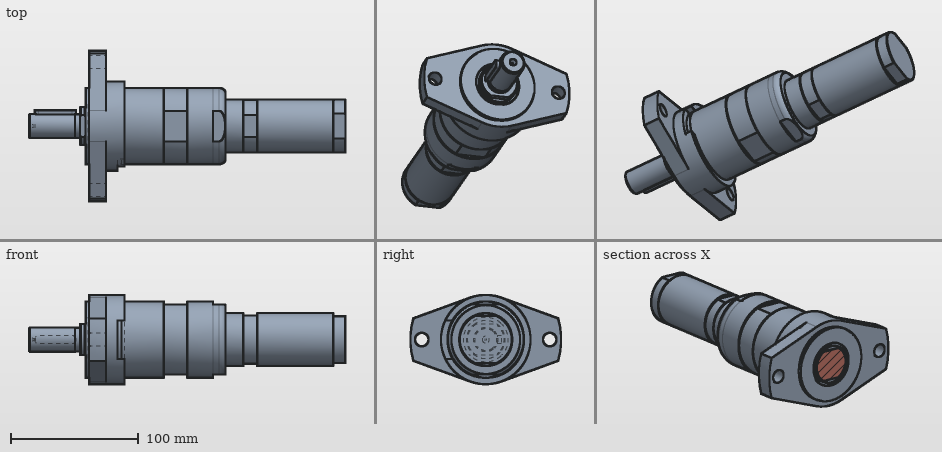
import cadquery as cq
import math

SHAFT_STEP_X = 36.0
COLLAR_X = 39.8
PILOT_X = 44.3
FLANGE_X = 47.0
FLANGE_END_X = 60.5
NOTCH_X = 69.3
BODY_SHOULDER_X = 72.5
HUB_END_X = 74.7
WRENCH_X = 105.7
RING_X = 123.5
NOSE_FLAT_X = 144.0
NOSE_ROUND_X = 148.5
NOSE_END_X = 153.7
NECK_X = 167.8
REAR_BODY_X = 178.2
TAIL_X = 238.0
TOTAL_LENGTH = 247.5

SHAFT_DIAMETER = 19.0
SHAFT_ROOT_DIAMETER = 18.8
SHAFT_CHAMFER = 1.0
KEY_X = 4.5
KEY_LENGTH = 32.5
KEY_WIDTH = 6.5
KEY_TOP_Y = 12.4
CENTER_RIM_DIAMETER = 5.5
CENTER_DRILL_DIAMETER = 1.55
CENTER_CONE_ANGLE = 60.0
CENTER_DRILL_DEPTH = 5.0

COLLAR_DIAMETER = 30.0
COLLAR_ACROSS_FLATS = 24.5
COLLAR_CHAMFER = 0.7
RECESS_DIAMETER = 35.0
RECESS_DEPTH = 1.7

FLANGE_SPAN = 118.0
HUB_DIAMETER = 70.0
FLANGE_EDGE_ANGLE = 20.0
BOLT_HOLE_DIAMETER = 10.5
BOLT_SPACING = 100.0
NOTCH_WIDTH = 30.2

BODY_DIAMETER = 60.0
NOTCH_FLOOR_DIAMETER = 59.5
BODY_ACROSS_FLATS = 55.0
NOSE_ROUND_RADIUS = 6.0

REAR_DIAMETER = 41.5
NECK_ACROSS_FLATS = 37.9
TAIL_ACROSS_FLATS = 36.6

EDGE_CHAMFER = 0.5


def cylinder(start, end, diameter):
    """Round section about the X axis between two stations."""
    return cq.Workplane("YZ", origin=(start, 0, 0)).circle(diameter / 2).extrude(end - start)


def flatted(section, across_flats):
    """Trim a round section to two flats, facing +Z and -Z."""
    box = section.val().BoundingBox()
    band = cq.Workplane("XY").box(box.xlen, box.ylen, across_flats).translate((box.center.x, 0, 0))
    return section.intersect(band)


def make_shaft():
    shaft = cylinder(0, SHAFT_STEP_X, SHAFT_DIAMETER).faces("<X").chamfer(SHAFT_CHAMFER)
    shaft = shaft.union(cylinder(SHAFT_STEP_X, FLANGE_X, SHAFT_ROOT_DIAMETER))
    key = (
        cq.Workplane("XZ")
        .center(KEY_X + KEY_LENGTH / 2, 0)
        .slot2D(KEY_LENGTH, KEY_WIDTH)
        .extrude(-KEY_TOP_Y)
    )
    return shaft.union(key)


def make_center_hole():
    """Center drilling in the shaft tip: a conical mouth and a small drilled hole."""
    rim_radius = CENTER_RIM_DIAMETER / 2
    drill_radius = CENTER_DRILL_DIAMETER / 2
    cone_depth = (rim_radius - drill_radius) / math.tan(math.radians(CENTER_CONE_ANGLE / 2))
    return (
        cq.Workplane("XY")
        .polyline([
            (0, 0),
            (0, rim_radius),
            (cone_depth, drill_radius),
            (CENTER_DRILL_DEPTH, drill_radius),
            (CENTER_DRILL_DEPTH, 0),
        ])
        .close()
        .revolve(360, (0, 0, 0), (1, 0, 0))
    )


def make_collar():
    """Chamfered collar with two flats on a round base level with the pilot face."""
    recess_floor_x = PILOT_X + RECESS_DEPTH
    collar = cylinder(COLLAR_X, PILOT_X, COLLAR_DIAMETER)
    collar = collar.faces("<X or >X").chamfer(COLLAR_CHAMFER)
    base = cylinder(PILOT_X, recess_floor_x, COLLAR_DIAMETER)
    return flatted(collar, COLLAR_ACROSS_FLATS).union(base)


def make_flange():
    """Two-bolt plate: straight edges tangent to the hub, ends rounded about the main axis."""
    end_radius = FLANGE_SPAN / 2
    hub_radius = HUB_DIAMETER / 2
    edge_angle = math.radians(FLANGE_EDGE_ANGLE)
    tangent_y = hub_radius * math.sin(edge_angle)
    tangent_z = hub_radius * math.cos(edge_angle)
    corner_angle = math.acos(hub_radius / end_radius) + edge_angle
    corner_y = end_radius * math.sin(corner_angle)
    corner_z = end_radius * math.cos(corner_angle)
    return (
        cq.Workplane("YZ", origin=(FLANGE_X, 0, 0))
        .moveTo(-tangent_y, tangent_z)
        .lineTo(tangent_y, tangent_z)
        .lineTo(corner_y, corner_z)
        .threePointArc((end_radius, 0), (corner_y, -corner_z))
        .lineTo(tangent_y, -tangent_z)
        .lineTo(-tangent_y, -tangent_z)
        .lineTo(-corner_y, -corner_z)
        .threePointArc((-end_radius, 0), (-corner_y, corner_z))
        .close()
        .pushPoints([(-BOLT_SPACING / 2, 0), (BOLT_SPACING / 2, 0)])
        .circle(BOLT_HOLE_DIAMETER / 2)
        .extrude(FLANGE_END_X - FLANGE_X)
    )


def make_hub():
    """Pilot, flange and hub, with a notch in the rear edge of the hub on the -Y side."""
    hub = cylinder(FLANGE_X, HUB_END_X, HUB_DIAMETER)
    notch = (
        cq.Workplane("XY")
        .box(HUB_END_X - NOTCH_X, HUB_DIAMETER, NOTCH_WIDTH)
        .translate(((NOTCH_X + HUB_END_X) / 2, -HUB_DIAMETER / 2, 0))
        .cut(cylinder(NOTCH_X, BODY_SHOULDER_X, NOTCH_FLOOR_DIAMETER))
        .cut(cylinder(BODY_SHOULDER_X, HUB_END_X, BODY_DIAMETER))
    )
    pilot = cylinder(PILOT_X, FLANGE_X, BODY_DIAMETER)
    recess = cylinder(PILOT_X, PILOT_X + RECESS_DEPTH, RECESS_DIAMETER)
    return hub.cut(notch).union(make_flange()).union(pilot.cut(recess))


def make_nose():
    """Flatted end of the gearbox, rounded over toward the rear motor body."""
    radius = BODY_DIAMETER / 2
    arc_center_r = radius - NOSE_ROUND_RADIUS

    def arc_point(x):
        offset = x - NOSE_ROUND_X
        return x, arc_center_r + math.sqrt(NOSE_ROUND_RADIUS**2 - offset**2)

    end_x, end_r = arc_point(NOSE_END_X)
    nose = (
        cq.Workplane("XY")
        .moveTo(NOSE_FLAT_X, 0)
        .lineTo(NOSE_FLAT_X, radius)
        .lineTo(NOSE_ROUND_X, radius)
        .threePointArc(arc_point((NOSE_ROUND_X + NOSE_END_X) / 2), (end_x, end_r))
        .lineTo(end_x, 0)
        .close()
        .revolve(360, (0, 0, 0), (1, 0, 0))
    )
    return flatted(nose, BODY_ACROSS_FLATS)


def make_gearbox():
    front = cylinder(HUB_END_X, WRENCH_X, BODY_DIAMETER).faces(">X").chamfer(EDGE_CHAMFER)
    wrench_section = flatted(cylinder(WRENCH_X, RING_X, BODY_DIAMETER), BODY_ACROSS_FLATS)
    ring = cylinder(RING_X, NOSE_FLAT_X, BODY_DIAMETER).faces("<X").chamfer(EDGE_CHAMFER)
    return front.union(wrench_section).union(ring).union(make_nose())


def make_rear_motor():
    front = cylinder(NOSE_END_X, NECK_X, REAR_DIAMETER).faces(">X").chamfer(EDGE_CHAMFER)
    neck = flatted(cylinder(NECK_X, REAR_BODY_X, REAR_DIAMETER), NECK_ACROSS_FLATS)
    rear = cylinder(REAR_BODY_X, TAIL_X, REAR_DIAMETER).faces("<X or >X").chamfer(EDGE_CHAMFER)
    tail = cylinder(TAIL_X, TOTAL_LENGTH, REAR_DIAMETER).faces(">X").chamfer(EDGE_CHAMFER)
    tail = flatted(tail, TAIL_ACROSS_FLATS)
    return front.union(neck).union(rear).union(tail)


result = (
    make_hub()
    .union(make_gearbox())
    .union(make_rear_motor())
    .union(make_collar())
    .union(make_shaft())
    .cut(make_center_hole())
)